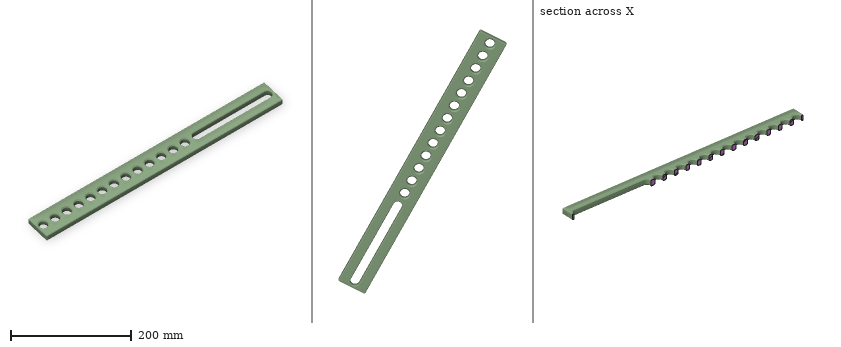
import cadquery as cq

LENGTH = 500.0
WIDTH = 50.0
THICKNESS = 12.0
EDGE_CHAMFER = 1.0

PITCH = 25.0
END_MARGIN = PITCH / 2

HOLE_COUNT = 13
HOLE_DIAMETER = 16.0
HOLE_CHAMFER = 2.0

SLOT_WIDTH = HOLE_DIAMETER
SLOT_CHAMFER = 1.1

first_hole_y = -LENGTH / 2 + END_MARGIN
slot_start_y = first_hole_y + HOLE_COUNT * PITCH
slot_end_y = LENGTH / 2 - END_MARGIN
slot_centre_y = (slot_start_y + slot_end_y) / 2
slot_length = slot_end_y - slot_start_y + SLOT_WIDTH


def make_bar():
    return cq.Workplane("XY").box(WIDTH, LENGTH, THICKNESS).edges().chamfer(EDGE_CHAMFER)


def hole_outlines(z, extra):
    """Circles of all holes at height z, enlarged by extra all round."""
    centres = [(0, first_hole_y + i * PITCH) for i in range(HOLE_COUNT)]
    return cq.Workplane("XY", origin=(0, 0, z)).pushPoints(centres).circle(HOLE_DIAMETER / 2 + extra)


def slot_outline(z, extra):
    """Slot outline at height z, enlarged by extra all round."""
    plane = cq.Workplane("XY", origin=(0, slot_centre_y, z))
    return plane.slot2D(slot_length + 2 * extra, SLOT_WIDTH + 2 * extra, angle=90)


def through_cutter(outline, chamfer):
    """Straight passage through the bar, flared at 45 degrees to the top and bottom faces."""
    passage = outline(-THICKNESS / 2, 0).extrude(THICKNESS)
    top_flare = outline(THICKNESS / 2, chamfer).extrude(-chamfer, taper=45)
    bottom_flare = top_flare.mirror("XY")
    return passage.union(top_flare).union(bottom_flare)


holes = through_cutter(hole_outlines, HOLE_CHAMFER)
slot = through_cutter(slot_outline, SLOT_CHAMFER)
result = make_bar().cut(holes).cut(slot)